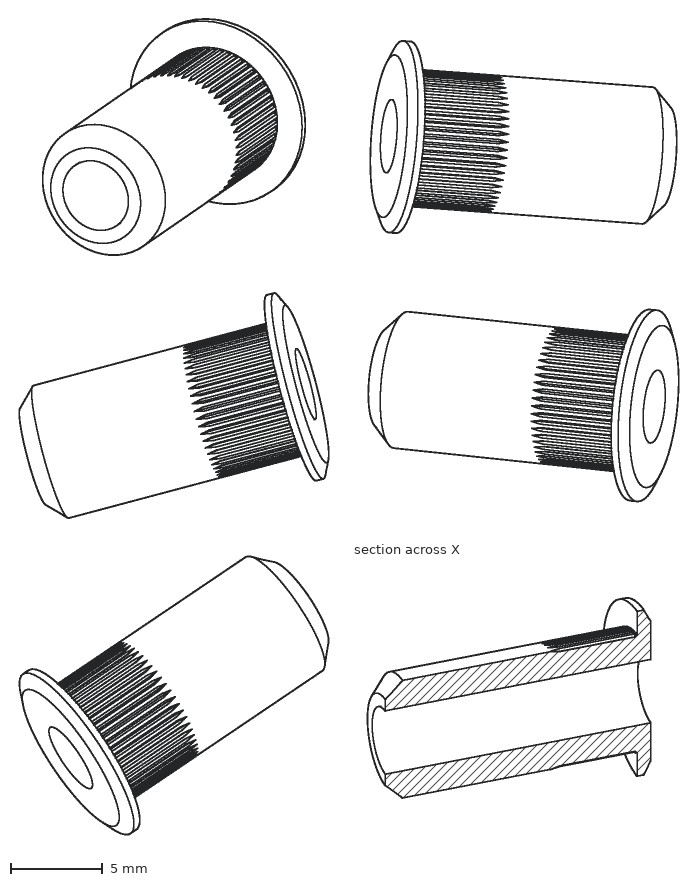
import cadquery as cq
import math

length = 15.49
flange_radius = 5.25
flange_thickness = 0.8
rim_thickness = 0.4
flange_bevel_run = 0.8

body_radius = 3.75
tip_chamfer = 1.0
bore_radius = 2.0

groove_count = 54
groove_gap = 0.1
groove_length = 4.4
runout_length = 0.54
groove_width = 0.23
groove_depth = 0.116
groove_overshoot = 0.08

flange_face_y = length / 2
flange_back_y = flange_face_y - flange_thickness
groove_start_y = flange_back_y - groove_gap
tip_y = -length / 2


def revolved_blank():
    """Body, flange and bore as one profile turned about the Y axis."""
    return (
        cq.Workplane("XY")
        .moveTo(bore_radius, tip_y)
        .lineTo(body_radius - tip_chamfer, tip_y)
        .lineTo(body_radius, tip_y + tip_chamfer)
        .lineTo(body_radius, flange_back_y)
        .lineTo(flange_radius, flange_back_y)
        .lineTo(flange_radius, flange_back_y + rim_thickness)
        .lineTo(flange_radius - flange_bevel_run, flange_face_y)
        .lineTo(bore_radius, flange_face_y)
        .close()
        .revolve(360, (0, 0, 0), (0, 1, 0))
    )


def groove_cutter():
    """One V groove on the +Z side, with a pointed run-out at its -Y end."""
    surface_half_width = groove_width / 2
    surface_z = math.sqrt(body_radius**2 - surface_half_width**2)
    bottom_z = body_radius - groove_depth
    top_z = body_radius + groove_overshoot
    wall_slope = surface_half_width / (surface_z - bottom_z)
    top_half_width = wall_slope * (top_z - bottom_z)
    section = [(-top_half_width, top_z), (top_half_width, top_z), (0, bottom_z)]

    straight = (
        cq.Workplane("XZ", origin=(0, groove_start_y, 0))
        .polyline(section)
        .close()
        .extrude(groove_length)
    )

    end_y = groove_start_y - groove_length
    point_y = end_y - runout_length * (top_z - bottom_z) / groove_depth
    left, right, bottom = [cq.Vector(x, end_y, z) for x, z in section]
    point = cq.Vector(0, point_y, top_z)
    triangles = [
        (left, right, bottom),
        (left, right, point),
        (right, bottom, point),
        (bottom, left, point),
    ]
    faces = [cq.Face.makeFromWires(cq.Wire.makePolygon(corners, close=True)) for corners in triangles]
    runout = cq.Solid.makeSolid(cq.Shell.makeShell(faces))
    return straight.union(cq.Workplane(obj=runout)).val()


def knurl_cutters():
    """Groove cutters spaced evenly around the body."""
    cutter = groove_cutter()
    pitch_angle = 360 / groove_count
    cutters = []
    for index in range(groove_count):
        cutters.append(cutter.rotate(cq.Vector(0, 0, 0), cq.Vector(0, 1, 0), index * pitch_angle))
    return cq.Compound.makeCompound(cutters)


result = revolved_blank().cut(cq.Workplane(obj=knurl_cutters())).solids()